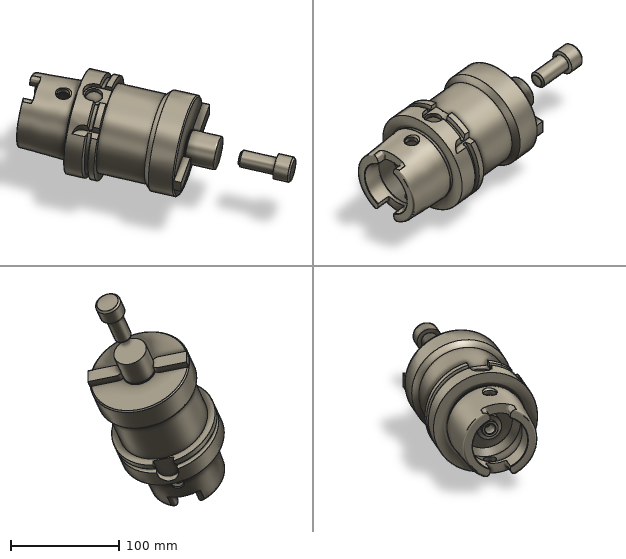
import cadquery as cq
import math


RELIEF_START_X = 47.0
FLANGE_START_X = 50.0
FLANGE_END_X = 79.0
BODY_END_X = 125.5
NOSE_START_X = 130.8
NOSE_END_X = 155.1
SPIGOT_END_X = 184.3
SCREW_TIP_X = 205.0
SCREW_HEAD_X = 240.0
SCREW_END_X = 256.0

TAPER_LARGE_R = 38.0
TAPER_SLOPE = 0.05
TAPER_SMALL_R = TAPER_LARGE_R - TAPER_SLOPE * RELIEF_START_X
END_ROUND_R = 1.8
RELIEF_R = 36.9
RELIEF_FLANK = 0.8
RELIEF_FLANGE_R = 39.7
RELIEF_FLANGE_DEPTH = 0.8

BORE_R = 26.5
BORE_CHAMFER = 0.5
UNDERCUT_R = 31.5
UNDERCUT_X = 19.2
SHOULDER_ANGLE = 60
CAVITY_FLOOR_R = 25.3
CAVITY_DEPTH = 48.6
BOSS_R = 12.0
BOSS_X = 37.6
BOSS_TIP_R = 7.7
BOSS_TIP_X = 34.0
COOLANT_HOLE_R = 5.0
COOLANT_CHAMFER = 0.5
COOLANT_HOLE_DEPTH = 15.4

SLOT_WIDTH = 20.0
SHALLOW_SLOT_DEPTH = 9.7
DEEP_SLOT_DEPTH = 15.0
SLOT_LIP_R = 4.0
SLOT_FLOOR_R = 2.0

CROSS_HOLE_R = 6.02
CROSS_HOLE_X = 35.0
CROSS_HOLE_CHAMFER_Z = 35.8
CROSS_HOLE_TOP_Z = 38.5

FLANGE_R = 100.0 / 2
GROOVE_R = 46.0
GROOVE_LEFT_X = 67.3
GROOVE_FLOOR_LEFT_X = 68.5
GROOVE_FLOOR_RIGHT_X = 72.0
GROOVE_RIGHT_X = 73.2

KEYWAY_CENTER_X = 64.5
KEYWAY_FLOOR = 44.0
POCKET_D = 16.5
POCKET_DEPTH = 4.5
NOTCH_WALL_Y = -31.7
NOTCH_FLOOR_Z = 31.2

BODY_R = 42.8
NOSE_R = 48.0
NOSE_CHAMFER = 1.3
SPIGOT_R = 16.0
SPIGOT_CHAMFER_LENGTH = 1.3
SPIGOT_CHAMFER_DEPTH = 0.3
SPIGOT_NECK_R = 15.5
SPIGOT_NECK_FLANK = 0.5
SPIGOT_NECK_END_X = 157.0

KEY_WIDTH = 13.3
KEY_END_X = 162.3
KEY_START_X = NOSE_END_X - NOSE_CHAMFER
KEY_OUTER_Y = 47.5
KEY_ROUND_CENTER_Y = 20.7

SHANK_R = 8.06
SHANK_TIP_R = 6.02
SHANK_TIP_LENGTH = 0.5
SHANK_CHAMFER_END_X = 207.0
HEAD_R = 12.0
HEAD_CHAMFER = 1.8

CLEARANCE = 12.8


def revolve(points):
    """Turn a closed (x, radius) outline about the X axis."""
    return cq.Workplane("XY").polyline(points).close().revolve(360, (0, 0, 0), (1, 0, 0))


def make_outside():
    relief_end_x = FLANGE_START_X + RELIEF_FLANGE_DEPTH
    outside = revolve([
        (0, 0),
        (0, TAPER_SMALL_R),
        (RELIEF_START_X, TAPER_LARGE_R),
        (RELIEF_START_X + RELIEF_FLANK, RELIEF_R),
        (relief_end_x, RELIEF_R),
        (FLANGE_START_X, RELIEF_FLANGE_R),
        (FLANGE_START_X, FLANGE_R),
        (GROOVE_LEFT_X, FLANGE_R),
        (GROOVE_FLOOR_LEFT_X, GROOVE_R),
        (GROOVE_FLOOR_RIGHT_X, GROOVE_R),
        (GROOVE_RIGHT_X, FLANGE_R),
        (FLANGE_END_X, FLANGE_R),
        (FLANGE_END_X, BODY_R),
        (BODY_END_X, BODY_R),
        (NOSE_START_X, NOSE_R),
        (NOSE_END_X - NOSE_CHAMFER, NOSE_R),
        (NOSE_END_X, NOSE_R - NOSE_CHAMFER),
        (NOSE_END_X, SPIGOT_R),
        (NOSE_END_X + SPIGOT_NECK_FLANK, SPIGOT_NECK_R),
        (SPIGOT_NECK_END_X - SPIGOT_NECK_FLANK, SPIGOT_NECK_R),
        (SPIGOT_NECK_END_X, SPIGOT_R),
        (SPIGOT_END_X - SPIGOT_CHAMFER_LENGTH, SPIGOT_R),
        (SPIGOT_END_X, SPIGOT_R - SPIGOT_CHAMFER_DEPTH),
        (SPIGOT_END_X, 0),
    ])
    return outside.faces("<X").edges().fillet(END_ROUND_R)


def make_cavity():
    """Space inside the shank, around the stepped central boss with its coolant hole."""
    shoulder_length = (UNDERCUT_R - BORE_R) / math.tan(math.radians(SHOULDER_ANGLE))
    floor_cone_length = UNDERCUT_R - CAVITY_FLOOR_R
    coolant_end_x = BOSS_TIP_X + COOLANT_HOLE_DEPTH
    return revolve([
        (0, 0),
        (0, BORE_R + BORE_CHAMFER),
        (BORE_CHAMFER, BORE_R),
        (UNDERCUT_X, BORE_R),
        (UNDERCUT_X + shoulder_length, UNDERCUT_R),
        (CAVITY_DEPTH - floor_cone_length, UNDERCUT_R),
        (CAVITY_DEPTH, CAVITY_FLOOR_R),
        (CAVITY_DEPTH, BOSS_R),
        (BOSS_X, BOSS_R),
        (BOSS_X, BOSS_TIP_R),
        (BOSS_TIP_X, BOSS_TIP_R),
        (BOSS_TIP_X, COOLANT_HOLE_R + COOLANT_CHAMFER),
        (BOSS_TIP_X + COOLANT_CHAMFER, COOLANT_HOLE_R),
        (coolant_end_x, COOLANT_HOLE_R),
        (coolant_end_x, 0),
    ])


def make_shank_slot(depth):
    """Cutter for a +Z slot whose walls round over onto the outside of the shank."""
    wall_y = SLOT_WIDTH / 2
    lip_y = wall_y + SLOT_LIP_R
    lip_center_r = TAPER_SMALL_R - SLOT_LIP_R
    lip_z = math.sqrt(lip_center_r**2 - lip_y**2)
    lean = math.asin(lip_y / lip_center_r)

    def on_lip(angle):
        return lip_y + SLOT_LIP_R * math.sin(angle), lip_z + SLOT_LIP_R * math.cos(angle)

    def mirrored(point):
        return -point[0], point[1]

    lip_end = on_lip(lean)
    lip_middle = on_lip((lean - math.pi / 2) / 2)
    inner_z = BORE_R / 2
    outer_z = TAPER_LARGE_R + CLEARANCE
    profile = (
        cq.Workplane("YZ")
        .moveTo(-wall_y, inner_z)
        .lineTo(wall_y, inner_z)
        .lineTo(wall_y, lip_z)
        .threePointArc(lip_middle, lip_end)
        .lineTo(lip_end[0], outer_z)
        .lineTo(-lip_end[0], outer_z)
        .lineTo(*mirrored(lip_end))
        .threePointArc(mirrored(lip_middle), (-wall_y, lip_z))
        .close()
    )
    wall_edges = cq.selectors.BoxSelector(
        (depth - 0.3, -lip_end[0], inner_z + 0.3), (depth + 0.3, lip_end[0], lip_end[1]))
    return profile.extrude(depth).edges(wall_edges).fillet(SLOT_FLOOR_R)


def make_cross_hole():
    """Cutter through the +Z wall of the shank, with a chamfer at its mouth."""
    mouth_r = CROSS_HOLE_R + CROSS_HOLE_TOP_Z - CROSS_HOLE_CHAMFER_Z
    return (
        cq.Workplane("XZ")
        .moveTo(CROSS_HOLE_X, BORE_R / 2)
        .lineTo(CROSS_HOLE_X + CROSS_HOLE_R, BORE_R / 2)
        .lineTo(CROSS_HOLE_X + CROSS_HOLE_R, CROSS_HOLE_CHAMFER_Z)
        .lineTo(CROSS_HOLE_X + mouth_r, CROSS_HOLE_TOP_Z)
        .lineTo(CROSS_HOLE_X, CROSS_HOLE_TOP_Z)
        .close()
        .revolve(360, (CROSS_HOLE_X, 0, 0), (CROSS_HOLE_X, 1, 0))
    )


def make_round_ended_slot(center_y, floor_z):
    """Cutter open towards +Z and +X, with a round end towards the shank."""
    length = FLANGE_END_X - KEYWAY_CENTER_X
    height = FLANGE_R + CLEARANCE - floor_z
    plane = cq.Workplane("XY", origin=(KEYWAY_CENTER_X, center_y, floor_z))
    round_end = plane.circle(SLOT_WIDTH / 2).extrude(height)
    straight = plane.center(length / 2, 0).rect(length, SLOT_WIDTH).extrude(height)
    return round_end.union(straight)


def make_pocket():
    return (
        cq.Workplane("XY", origin=(KEYWAY_CENTER_X, 0, KEYWAY_FLOOR - POCKET_DEPTH))
        .circle(POCKET_D / 2)
        .extrude(POCKET_DEPTH)
    )


def make_key():
    """Driving key on the +Y side, with a round end towards the axis."""
    half = KEY_WIDTH / 2
    return (
        cq.Workplane("YZ", origin=(KEY_START_X, 0, 0))
        .moveTo(KEY_OUTER_Y, -half)
        .lineTo(KEY_OUTER_Y, half)
        .lineTo(KEY_ROUND_CENTER_Y, half)
        .threePointArc((KEY_ROUND_CENTER_Y - half, 0), (KEY_ROUND_CENTER_Y, -half))
        .close()
        .extrude(KEY_END_X - KEY_START_X)
    )


def half_turn(shape):
    """Move a shape to the opposite side of the tool axis."""
    return shape.rotate((0, 0, 0), (1, 0, 0), 180)


def make_holder():
    holder = make_outside().cut(make_cavity())
    cross_hole = make_cross_hole()
    holder = holder.cut(cross_hole).cut(half_turn(cross_hole))
    holder = holder.cut(make_shank_slot(SHALLOW_SLOT_DEPTH))
    holder = holder.cut(half_turn(make_shank_slot(DEEP_SLOT_DEPTH)))

    keyway = make_round_ended_slot(0, KEYWAY_FLOOR)
    holder = holder.cut(keyway).cut(half_turn(keyway))
    holder = holder.cut(make_pocket())
    holder = holder.cut(make_round_ended_slot(NOTCH_WALL_Y - SLOT_WIDTH / 2, NOTCH_FLOOR_Z))

    key = make_key()
    return holder.union(key).union(half_turn(key))


def make_screw():
    return revolve([
        (SCREW_TIP_X, 0),
        (SCREW_TIP_X, SHANK_TIP_R),
        (SCREW_TIP_X + SHANK_TIP_LENGTH, SHANK_TIP_R),
        (SHANK_CHAMFER_END_X, SHANK_R),
        (SCREW_HEAD_X, SHANK_R),
        (SCREW_HEAD_X, HEAD_R),
        (SCREW_END_X - HEAD_CHAMFER, HEAD_R),
        (SCREW_END_X, HEAD_R - HEAD_CHAMFER),
        (SCREW_END_X, 0),
    ])


holder = make_holder()
screw = make_screw()
result = cq.Compound.makeCompound([holder.val(), screw.val()])